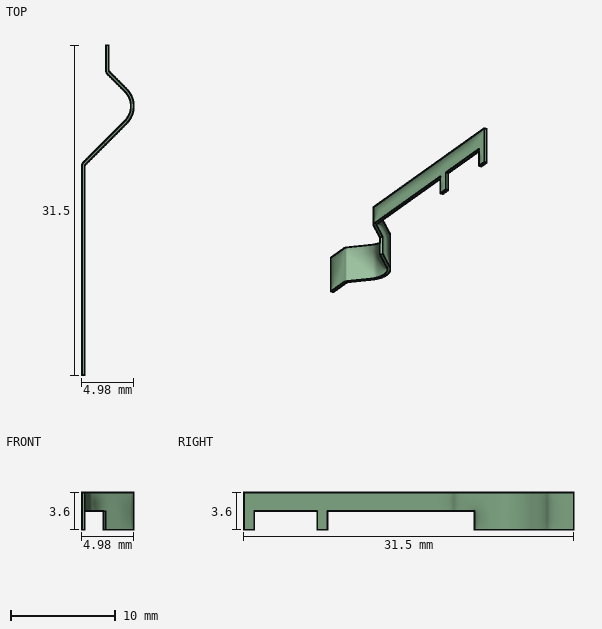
import cadquery as cq
import math

thickness = 0.3
full_height = 3.6
strip_height = full_height / 2

length = 31.5
width = 4.98
apex_y = 25.67
bow_inner_radius = 2.0
bend_inner_radius = 0.25
end_leg_x = 2.44

tab_width = 1.0
middle_tab_y = 7.0
relief_end_y = 22.1

base_x = thickness / 2
bow_radius = bow_inner_radius + thickness / 2
bend_radius = bend_inner_radius + thickness / 2
bow_center_x = width - thickness - bow_inner_radius
corner_x = bow_center_x + bow_radius * math.sqrt(2)
lower_bend_y = apex_y - (corner_x - base_x)
upper_bend_y = apex_y + (corner_x - end_leg_x)


def arc_points(center, radius, start_angle, end_angle):
    """Start, middle and end of an arc, with angles in degrees."""
    points = []
    for angle in (start_angle, (start_angle + end_angle) / 2, end_angle):
        turn = math.radians(angle)
        points.append((center[0] + radius * math.cos(turn), center[1] + radius * math.sin(turn)))
    return points


def face_arcs(offset):
    """Lower bend, bow and upper bend of the face lying at an X offset from mid-thickness."""
    setback = bend_radius * math.tan(math.pi / 8)
    lower_center = (base_x + bend_radius, lower_bend_y - setback)
    upper_center = (end_leg_x + bend_radius, upper_bend_y + setback)
    bow_center = (bow_center_x, apex_y)
    return [
        arc_points(lower_center, bend_radius - offset, 180, 135),
        arc_points(bow_center, bow_radius + offset, -45, 45),
        arc_points(upper_center, bend_radius - offset, 225, 180),
    ]


def bent_strip():
    """Full-height strip following the straight legs, the slopes and the bow."""
    half = thickness / 2
    outline = cq.Workplane("XY").moveTo(base_x + half, 0)
    for start, middle, end in face_arcs(half):
        outline = outline.lineTo(*start).threePointArc(middle, end)
    outline = outline.lineTo(end_leg_x + half, length).lineTo(end_leg_x - half, length)
    for start, middle, end in reversed(face_arcs(-half)):
        outline = outline.lineTo(*end).threePointArc(middle, start)
    return outline.lineTo(base_x - half, 0).close().extrude(full_height)


def gap_between_tabs():
    """Opening below the strip between the end tab and the middle tab."""
    gap_length = middle_tab_y - tab_width
    return (
        cq.Workplane("XY")
        .center(base_x, tab_width + gap_length / 2)
        .rect(2 * thickness, gap_length)
        .extrude(full_height - strip_height)
    )


def relief():
    """Opening from the middle tab to a cut made square across the lower slope."""
    start_y = middle_tab_y + tab_width
    relief_end_x = base_x + relief_end_y - lower_bend_y
    outline = [
        (-thickness, start_y),
        (relief_end_x + thickness, start_y),
        (relief_end_x + thickness, relief_end_y - thickness),
        (relief_end_x - thickness, relief_end_y + thickness),
        (-thickness, relief_end_y + thickness),
    ]
    return cq.Workplane("XY").polyline(outline).close().extrude(full_height - strip_height)


result = bent_strip().cut(gap_between_tabs()).cut(relief())